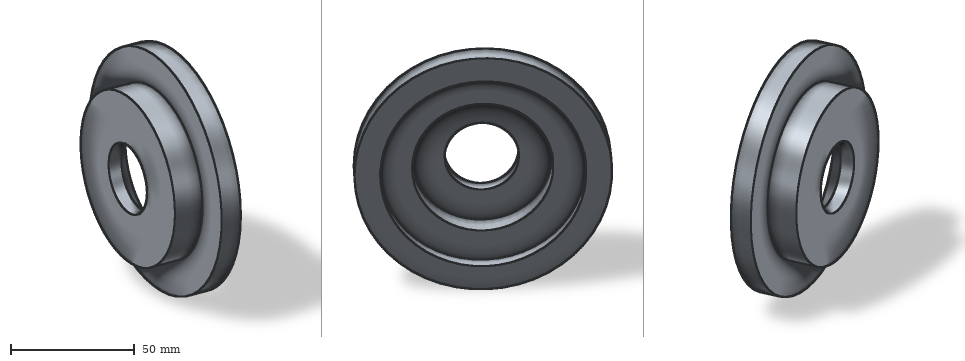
import cadquery as cq

flange_diameter = 104.0
hub_diameter = 74.0
bore_diameter = 30.0
total_length = 22.0
flange_thickness = 9.0
web_thickness = 6.0
hub_recess_diameter = 57.0
flange_recess_diameter = 83.2
flange_recess_depth = 6.0

hub_length = total_length - flange_thickness
flange_recess_start = total_length - flange_recess_depth
hub_recess_length = flange_recess_start - web_thickness


def disc(diameter, start, length):
    """Solid disc centred on the Y axis, running from start towards +Y."""
    plane = cq.Workplane("XZ", origin=(0, start, 0))
    return plane.circle(diameter / 2).extrude(-length)


hub = disc(hub_diameter, 0, hub_length)
flange = disc(flange_diameter, hub_length, flange_thickness)

bore = disc(bore_diameter, 0, web_thickness)

hub_recess = disc(hub_recess_diameter, web_thickness, hub_recess_length)
flange_recess = disc(flange_recess_diameter, flange_recess_start, flange_recess_depth)

result = hub.union(flange).cut(bore).cut(hub_recess).cut(flange_recess)